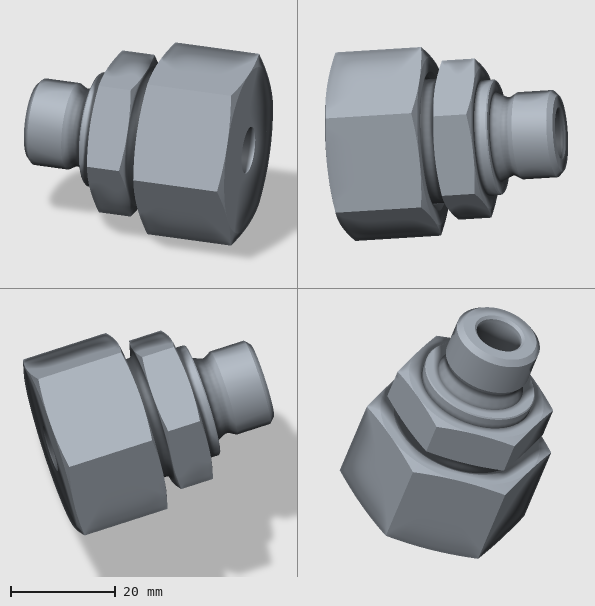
import cadquery as cq
import math

TIP_CHAMFER_END = 1.0
STUD_END = 7.75
COLLAR_FACE = 12.0
COLLAR_CHAMFER_LENGTH = 0.25
HEX_FACE = 14.5
HEX_BACK = 22.0
NUT_FACE = 24.5
TOTAL_LENGTH = 42.5

TIP_RADIUS = 7.3
STUD_RADIUS = 8.33
COLLAR_RADIUS = 11.0
COLLAR_CHAMFER_DEPTH = 0.2
NECK_RADIUS = 11.85
SHANK_RADIUS = 12.2
BORE_RADIUS = 4.5
BORE_CHAMFER = 0.5
BODY_FLATS = 27.0
NUT_FLATS = 32.0

GROOVE_BOTTOM_RADIUS = 7.5
GROOVE_ROUND_RADIUS = 1.25
GROOVE_FRONT_ANGLE = math.radians(30)
GROOVE_BACK_ANGLE = math.radians(25)

NECK_ROUND_RADIUS = 1.0
NECK_END = 26.0

MOUTH_RADIUS = 13.3
MOUTH_DEPTH = 0.6

HEX_CHAMFER_ANGLE = math.radians(15)


def turned(profile):
    """Revolve an (x, radius) outline about the X axis."""
    return profile.close().revolve(360, (0, 0, 0), (1, 0, 0))


def cylinder(start, end, radius):
    return cq.Workplane("YZ").workplane(offset=start).circle(radius).extrude(end - start)


def chamfered_hex(start, end, flats):
    """Hexagon bar along X with flats facing +Z and -Z and its corners turned off at both ends."""
    corner_radius = flats / math.sqrt(3)
    face_radius = flats / 2
    chamfer_length = (corner_radius - face_radius) * math.tan(HEX_CHAMFER_ANGLE)
    bar = cq.Workplane("YZ").workplane(offset=start).polygon(6, 2 * corner_radius).extrude(end - start)
    envelope = turned(
        cq.Workplane("XY")
        .moveTo(start, 0)
        .lineTo(start, face_radius)
        .lineTo(start + chamfer_length, corner_radius)
        .lineTo(end - chamfer_length, corner_radius)
        .lineTo(end, face_radius)
        .lineTo(end, 0)
    )
    return bar.intersect(envelope)


def stud():
    """Stud with its chamfered tip, rounded groove and collar."""
    round_front_radius = GROOVE_BOTTOM_RADIUS + GROOVE_ROUND_RADIUS * (1 - math.cos(GROOVE_FRONT_ANGLE))
    round_back_radius = GROOVE_BOTTOM_RADIUS + GROOVE_ROUND_RADIUS * (1 - math.cos(GROOVE_BACK_ANGLE))
    round_front = STUD_END + (STUD_RADIUS - round_front_radius) / math.tan(GROOVE_FRONT_ANGLE)
    groove_bottom = round_front + GROOVE_ROUND_RADIUS * math.sin(GROOVE_FRONT_ANGLE)
    round_back = groove_bottom + GROOVE_ROUND_RADIUS * math.sin(GROOVE_BACK_ANGLE)
    cone_base_radius = round_back_radius + (COLLAR_FACE - round_back) * math.tan(GROOVE_BACK_ANGLE)
    return turned(
        cq.Workplane("XY")
        .lineTo(0, TIP_RADIUS)
        .lineTo(TIP_CHAMFER_END, STUD_RADIUS)
        .lineTo(STUD_END, STUD_RADIUS)
        .lineTo(round_front, round_front_radius)
        .threePointArc((groove_bottom, GROOVE_BOTTOM_RADIUS), (round_back, round_back_radius))
        .lineTo(COLLAR_FACE, cone_base_radius)
        .lineTo(COLLAR_FACE, COLLAR_RADIUS - COLLAR_CHAMFER_DEPTH)
        .lineTo(COLLAR_FACE + COLLAR_CHAMFER_LENGTH, COLLAR_RADIUS)
        .lineTo(HEX_FACE, COLLAR_RADIUS)
        .lineTo(HEX_FACE, 0)
    )


def shank():
    """Neck with a round at its root, then the shank that fills the nut."""
    round_start = (HEX_BACK, NECK_RADIUS + NECK_ROUND_RADIUS)
    round_end = (HEX_BACK + NECK_ROUND_RADIUS, NECK_RADIUS)
    middle_offset = NECK_ROUND_RADIUS * (1 - math.cos(math.radians(45)))
    round_middle = (HEX_BACK + middle_offset, NECK_RADIUS + middle_offset)
    return turned(
        cq.Workplane("XY")
        .moveTo(HEX_BACK, 0)
        .lineTo(*round_start)
        .threePointArc(round_middle, round_end)
        .lineTo(NECK_END, NECK_RADIUS)
        .lineTo(NECK_END, SHANK_RADIUS)
        .lineTo(TOTAL_LENGTH, SHANK_RADIUS)
        .lineTo(TOTAL_LENGTH, 0)
    )


def countersink(start, depth, outer_radius, inner_radius):
    return turned(
        cq.Workplane("XY")
        .moveTo(start, 0)
        .lineTo(start, outer_radius)
        .lineTo(start + depth, inner_radius)
        .lineTo(start + depth, 0)
    )


def make_fitting_body():
    body = stud().union(chamfered_hex(HEX_FACE, HEX_BACK, BODY_FLATS)).union(shank())
    body = body.cut(cylinder(0, TOTAL_LENGTH, BORE_RADIUS))
    return body.cut(countersink(0, BORE_CHAMFER, BORE_RADIUS + BORE_CHAMFER, BORE_RADIUS))


def make_nut():
    nut = chamfered_hex(NUT_FACE, TOTAL_LENGTH, NUT_FLATS)
    nut = nut.cut(cylinder(NUT_FACE, TOTAL_LENGTH, SHANK_RADIUS))
    return nut.cut(countersink(NUT_FACE, MOUTH_DEPTH, MOUTH_RADIUS, SHANK_RADIUS))


fitting_body = make_fitting_body()
nut = make_nut()

result = cq.Compound.makeCompound([fitting_body.val(), nut.val()])